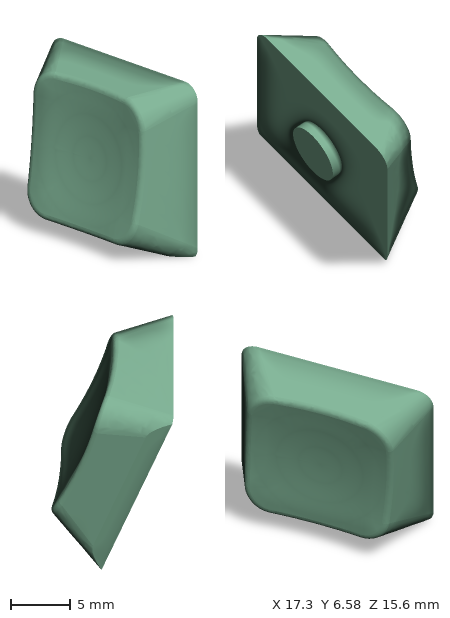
import cadquery as cq
import math


back_width = 17.3
back_height = 16.2
back_corner_radius = 1.49
trimmed_height = 15.57

front_width = 12.25
front_corner_radius = 2.56
upper_slope = 0.281
lower_slope = 0.39
front_upper_depth = 4.88
front_lower_depth = 6.2

dish_radius = 34.6
dish_pole_z = 0.31
dish_pole_depth = 4.13
rim_radius = 0.52

stem_diameter = 5.3
stem_length = 1.02

front_upper_z = back_height / 2 - upper_slope * front_upper_depth
front_lower_z = -back_height / 2 + lower_slope * front_lower_depth
front_rise = front_upper_z - front_lower_z
front_lean = front_lower_depth - front_upper_depth
front_height = math.hypot(front_rise, front_lean)
front_normal = cq.Vector(0, -front_rise, front_lean).normalized()


def rounded_rectangle(plane, width, height, corner_radius):
    """Closed wire of a rounded rectangle centred on the plane."""
    sketch = cq.Sketch().rect(width, height).vertices().fillet(corner_radius)
    return sketch.reset().faces().val().outerWire().moved(cq.Location(plane))


def tapered_body():
    """Solid between the back outline and the leaning front outline."""
    back_plane = cq.Plane.named("XZ")
    front_centre = (
        0,
        -(front_upper_depth + front_lower_depth) / 2,
        (front_upper_z + front_lower_z) / 2,
    )
    front_plane = cq.Plane(origin=front_centre, xDir=(1, 0, 0), normal=front_normal)
    back = rounded_rectangle(back_plane, back_width, back_height, back_corner_radius)
    front = rounded_rectangle(front_plane, front_width, front_height, front_corner_radius)
    return cq.Workplane(cq.Solid.makeLoft([back, front], True))


def cut_dish(body):
    """Scoop the front with a sphere and round the rim."""
    pole = cq.Vector(0, -dish_pole_depth, dish_pole_z)
    centre = pole + front_normal * dish_radius
    ball_plane = cq.Plane(origin=centre, xDir=(-1, 0, 0), normal=front_normal * -1)
    ball = cq.Workplane(ball_plane).sphere(dish_radius)
    return body.cut(ball).faces("%SPHERE").edges().fillet(rim_radius)


def trim_lower_edge(body):
    """Cut the lower edge flat, leaving the trimmed height."""
    trim_z = back_height / 2 - trimmed_height
    waste = (
        cq.Workplane("XY", origin=(0, 0, trim_z))
        .rect(2 * back_width, 2 * back_width)
        .extrude(-back_height)
    )
    return body.cut(waste)


def add_stem(body):
    """Add the round stem behind the back face."""
    stem = cq.Workplane("XZ").circle(stem_diameter / 2).extrude(-stem_length)
    return body.union(stem)


result = add_stem(trim_lower_edge(cut_dish(tapered_body())))